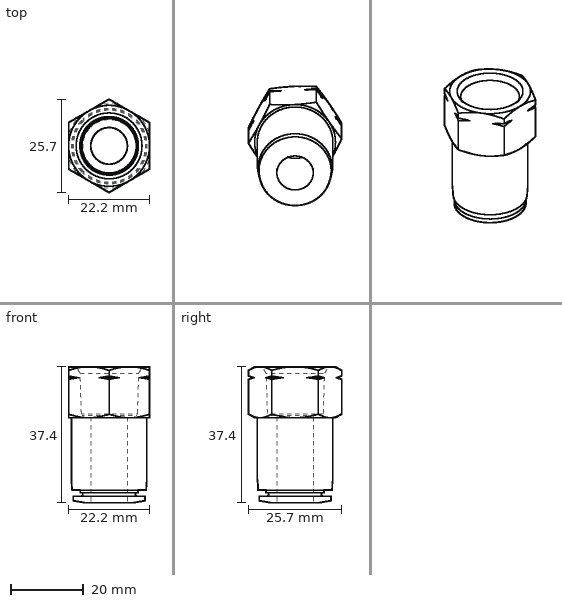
import cadquery as cq
import math

total_height = 37.4

across_flats = 22.22
across_corners = across_flats / math.cos(math.radians(30))
hex_height = 14.0
hex_bottom = total_height - hex_height
hex_chamfer_angle = 30.0
corner_groove_depth = 1.25
corner_groove_half_angle = 21.0
corner_groove_z = total_height - 3.0

sleeve_diameter = 20.8
sleeve_end_diameter = 20.4
sleeve_taper_top = 6.4
sleeve_bottom = 3.5

shoulder_diameter = 16.0
shoulder_bottom = 2.75
neck_diameter = 14.6
neck_fillet = 0.35
flange_diameter = 19.8
flange_top = 1.9
flange_cone_height = 0.6
flange_face_diameter = 13.0
flange_rim_fillet = 0.15

through_diameter = 10.0
socket_mouth_diameter = 18.1
socket_top_diameter = 16.1
socket_taper = 1 / 16
socket_end_diameter = 15.4
socket_floor_diameter = 14.9
socket_cone_half_angle = 30.0


def cone_length(large_diameter, small_diameter, half_angle):
    """Axial length of a cone between two diameters."""
    return (large_diameter - small_diameter) / 2 / math.tan(math.radians(half_angle))


def revolve_profile(profile):
    """Turn a closed (radius, z) profile around the Z axis."""
    return profile.close().revolve(360, (0, 0, 0), (0, 1, 0))


def make_hexagon():
    """Hexagon with both ends turned to a cone at the corners."""
    prism = (
        cq.Workplane("XY")
        .workplane(offset=hex_bottom)
        .polygon(6, across_corners)
        .extrude(hex_height)
        .rotate((0, 0, 0), (0, 0, 1), 30)
    )
    flat_radius = across_flats / 2
    corner_radius = across_corners / 2
    chamfer_height = (corner_radius - flat_radius) * math.tan(math.radians(hex_chamfer_angle))
    envelope = revolve_profile(
        cq.Workplane("XZ")
        .moveTo(0, hex_bottom)
        .lineTo(flat_radius, hex_bottom)
        .lineTo(corner_radius, hex_bottom + chamfer_height)
        .lineTo(corner_radius, total_height - chamfer_height)
        .lineTo(flat_radius, total_height)
        .lineTo(0, total_height)
    )
    return prism.intersect(envelope)


def make_corner_groove():
    """V-shaped ring that nicks only the six hexagon corners."""
    overcut = 1.0
    root_radius = across_corners / 2 - corner_groove_depth
    outer_radius = across_corners / 2 + overcut
    half_width = (outer_radius - root_radius) * math.tan(math.radians(corner_groove_half_angle))
    return revolve_profile(
        cq.Workplane("XZ")
        .moveTo(root_radius, corner_groove_z)
        .lineTo(outer_radius, corner_groove_z - half_width)
        .lineTo(outer_radius, corner_groove_z + half_width)
    )


def make_sleeve_and_collar():
    """Sleeve, neck and coned collar flange as one turned body."""
    face_radius = flange_face_diameter / 2
    flange_radius = flange_diameter / 2
    neck_radius = neck_diameter / 2
    cone_slope = math.atan2(flange_cone_height, flange_radius - face_radius)
    fillet_setback = flange_rim_fillet * math.tan((math.pi / 2 - cone_slope) / 2)
    fillet_start_z = flange_cone_height - fillet_setback * math.sin(cone_slope)
    return revolve_profile(
        cq.Workplane("XZ")
        .moveTo(0, 0)
        .lineTo(face_radius, 0)
        .lineTo(flange_radius - fillet_setback * math.cos(cone_slope), fillet_start_z)
        .tangentArcPoint((flange_radius, flange_cone_height + fillet_setback), relative=False)
        .lineTo(flange_radius, flange_top)
        .lineTo(neck_radius + neck_fillet, flange_top)
        .tangentArcPoint((neck_radius, flange_top + neck_fillet), relative=False)
        .lineTo(neck_radius, shoulder_bottom)
        .lineTo(shoulder_diameter / 2, shoulder_bottom)
        .lineTo(shoulder_diameter / 2, sleeve_bottom)
        .lineTo(sleeve_end_diameter / 2, sleeve_bottom)
        .lineTo(sleeve_diameter / 2, sleeve_taper_top)
        .lineTo(sleeve_diameter / 2, hex_bottom)
        .lineTo(0, hex_bottom)
    )


def make_bore():
    """Tapered socket with a wide mouth, and the through hole below it."""
    mouth_length = cone_length(socket_mouth_diameter, socket_top_diameter, socket_cone_half_angle)
    taper_length = (socket_top_diameter - socket_end_diameter) / socket_taper
    end_length = cone_length(socket_end_diameter, socket_floor_diameter, socket_cone_half_angle)
    taper_top = total_height - mouth_length
    taper_bottom = taper_top - taper_length
    floor_z = taper_bottom - end_length
    return revolve_profile(
        cq.Workplane("XZ")
        .moveTo(0, 0)
        .lineTo(through_diameter / 2, 0)
        .lineTo(through_diameter / 2, floor_z)
        .lineTo(socket_floor_diameter / 2, floor_z)
        .lineTo(socket_end_diameter / 2, taper_bottom)
        .lineTo(socket_top_diameter / 2, taper_top)
        .lineTo(socket_mouth_diameter / 2, total_height)
        .lineTo(0, total_height)
    )


nut = make_hexagon().cut(make_corner_groove())
result = nut.union(make_sleeve_and_collar()).cut(make_bore())